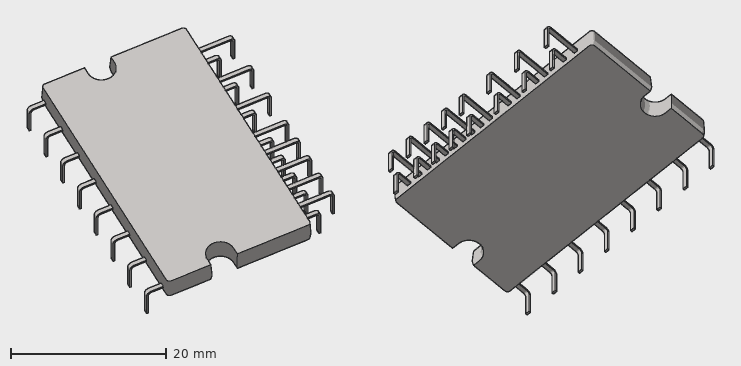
import cadquery as cq
import math

body_length = 36.0
body_width = 21.0
upper_height = 2.2
lower_height = 0.9
draft_inset = 0.125
corner_radius = 0.6

notch_width = 3.55
notch_depth = 2.95
notch_y = -2.25

lead_width = 0.6
lead_thickness = 0.3
bend_radius = 0.7
total_height = 6.4
lead_tip_z = upper_height - total_height
lead_embed = 0.72

front_count = 8
front_span = 33.15
front_reach = 2.4
front_shift = -0.07

long_reach = 5.5
short_reach = 2.52
fine_count = 8
fine_span = 12.78
fine_gap = fine_span / fine_count
end_gap = 2.0
wide_gap = 3.4
rear_gaps = [end_gap] + 2 * [wide_gap, fine_gap] + [wide_gap] + fine_count * [fine_gap] + [end_gap]


def make_body_half(height):
    """Extrude the notched outline up or down from the parting plane, narrowing with the draft."""
    half_length = body_length / 2
    notch_radius = notch_width / 2
    arc_x = half_length - notch_depth + notch_radius
    outline = cq.Sketch().rect(body_length, body_width).vertices().fillet(corner_radius).reset()
    for side in (-1, 1):
        outline = (
            outline.push([(side * arc_x, notch_y)])
            .circle(notch_radius, mode="s")
            .reset()
            .push([(side * (arc_x + notch_depth / 2), notch_y)])
            .rect(notch_depth, notch_width, mode="s")
            .reset()
        )
    draft_angle = math.degrees(math.atan(draft_inset / abs(height)))
    return cq.Workplane("XY").placeSketch(outline).extrude(height, taper=draft_angle)


def make_lead(x, reach, side):
    """Bent lead reaching out from the rear (side = 1) or front (side = -1) face."""
    inner_radius = bend_radius - lead_thickness
    top = lead_thickness / 2
    face = body_width / 2
    tip = face + reach
    bend_y = tip - bend_radius
    bend_z = top - bend_radius
    diagonal = math.sqrt(0.5)

    def at(y, z):
        return (side * y, z)

    return (
        cq.Workplane("YZ", origin=(x - lead_width / 2, 0, 0))
        .moveTo(*at(face - lead_embed, top))
        .lineTo(*at(bend_y, top))
        .threePointArc(
            at(bend_y + bend_radius * diagonal, bend_z + bend_radius * diagonal),
            at(tip, bend_z),
        )
        .lineTo(*at(tip, lead_tip_z))
        .lineTo(*at(tip - lead_thickness, lead_tip_z))
        .lineTo(*at(tip - lead_thickness, bend_z))
        .threePointArc(
            at(bend_y + inner_radius * diagonal, bend_z + inner_radius * diagonal),
            at(bend_y, -top),
        )
        .lineTo(*at(face - lead_embed, -top))
        .close()
        .extrude(lead_width)
    )


result = make_body_half(upper_height).union(make_body_half(-lower_height))

front_pitch = front_span / (front_count - 1)
front_start = front_shift - front_span / 2
for index in range(front_count):
    result = result.union(make_lead(front_start + index * front_pitch, front_reach, -1))

rear_start = -sum(rear_gaps) / 2
for index in range(len(rear_gaps) + 1):
    reach = short_reach if index % 2 else long_reach
    result = result.union(make_lead(rear_start + sum(rear_gaps[:index]), reach, 1))